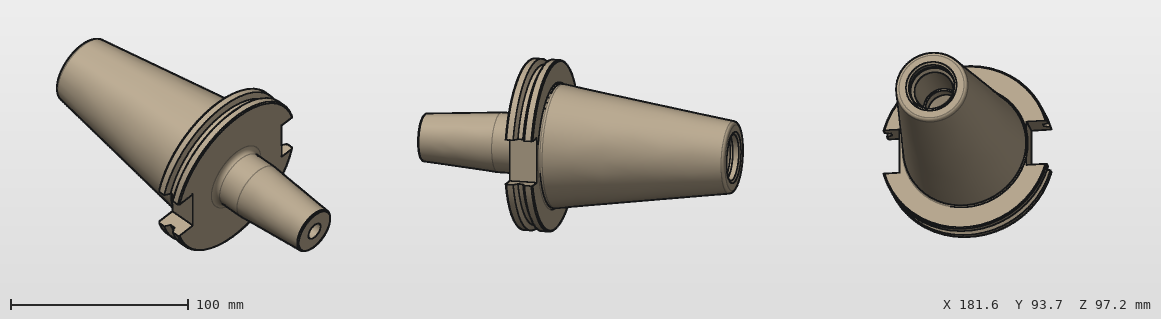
import cadquery as cq
import math

total_length = 181.6
taper_end = 102.5
flange_start = 104.6
flange_width = 16.0
flange_end = flange_start + flange_width
nose_cone_start = 137.3

shank_small_radius = 20.3
shank_large_radius = 70.3 / 2
shank_end_fillet = 2.0
collar_fillet = 0.9

flange_radius = 97.2 / 2
flange_chamfer = 0.7
groove_floor_radius = 45.4
groove_floor_width = 2.9
groove_flank_angle = 60.0
groove_center = 112.6

neck_radius = 34.0 / 2
neck_fillet = 3.3
nose_tip_radius = 13.6
tip_chamfer = 0.7

slot_width = 25.8
slot_floor_front = 35.2
slot_floor_back = 37.6

mouth_radius = 14.5
mouth_chamfer_depth = 0.9
counterbore_radius = 26.2 / 2
counterbore_depth = 4.4
seat_radius = 12.9
seat_end = 5.8
thread_radius = 22.2 / 2
thread_chamfer_end = 7.8
pilot_radius = 20.0 / 2
thread_end = 36.3
pilot_end = 43.5
through_radius = 10.0 / 2
drill_point_angle = 60.0


def revolve_about_x(profile):
    """Turn a closed XY profile about the X axis."""
    return profile.close().revolve(360, (0, 0, 0), (1, 0, 0))


def outer_body():
    groove_depth = flange_radius - groove_floor_radius
    floor_half = groove_floor_width / 2
    mouth_half = floor_half + groove_depth / math.tan(math.radians(groove_flank_angle))
    rim_radius = flange_radius - flange_chamfer
    profile = (
        cq.Workplane("XY")
        .moveTo(0, 0)
        .lineTo(0, shank_small_radius)
        .lineTo(taper_end, shank_large_radius)
        .lineTo(flange_start - collar_fillet, shank_large_radius)
        .radiusArc((flange_start, shank_large_radius + collar_fillet), -collar_fillet)
        .lineTo(flange_start, rim_radius)
        .lineTo(flange_start + flange_chamfer, flange_radius)
        .lineTo(groove_center - mouth_half, flange_radius)
        .lineTo(groove_center - floor_half, groove_floor_radius)
        .lineTo(groove_center + floor_half, groove_floor_radius)
        .lineTo(groove_center + mouth_half, flange_radius)
        .lineTo(flange_end - flange_chamfer, flange_radius)
        .lineTo(flange_end, rim_radius)
        .lineTo(flange_end, neck_radius + neck_fillet)
        .radiusArc((flange_end + neck_fillet, neck_radius), -neck_fillet)
        .lineTo(nose_cone_start, neck_radius)
        .lineTo(total_length - tip_chamfer, nose_tip_radius)
        .lineTo(total_length, nose_tip_radius - tip_chamfer)
        .lineTo(total_length, 0)
    )
    return revolve_about_x(profile).faces("<X").edges().fillet(shank_end_fillet)


def bore():
    point_length = (pilot_radius - through_radius) / math.tan(math.radians(drill_point_angle))
    profile = (
        cq.Workplane("XY")
        .moveTo(0, 0)
        .lineTo(0, mouth_radius)
        .lineTo(mouth_chamfer_depth, counterbore_radius)
        .lineTo(counterbore_depth, counterbore_radius)
        .lineTo(counterbore_depth, seat_radius)
        .lineTo(seat_end, seat_radius)
        .lineTo(thread_chamfer_end, thread_radius)
        .lineTo(thread_end, thread_radius)
        .lineTo(thread_end, pilot_radius)
        .lineTo(pilot_end, pilot_radius)
        .lineTo(pilot_end + point_length, through_radius)
        .lineTo(total_length, through_radius)
        .lineTo(total_length, 0)
    )
    return revolve_about_x(profile)


def drive_slot(floor_distance, side):
    """Slot across the flange, open outward on the given Y side (+1 or -1)."""
    depth = flange_radius - floor_distance
    middle = side * (floor_distance + depth / 2)
    return (
        cq.Workplane("XY")
        .box(flange_width, depth, slot_width)
        .translate((flange_start + flange_width / 2, middle, 0))
    )


result = (
    outer_body()
    .cut(bore())
    .cut(drive_slot(slot_floor_front, -1))
    .cut(drive_slot(slot_floor_back, 1))
)